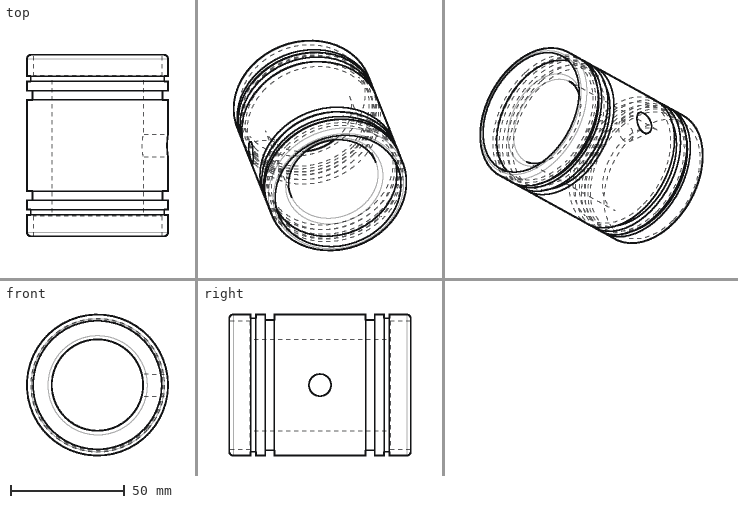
import cadquery as cq

length = 79.72
outer_radius = 31.0
bore_radius = 20.0

recess_radius = 28.2
recess_depth = 9.0

rim_round = 1.8
bore_round = 1.8

wide_groove_start = 20.0
wide_groove_width = 4.0
wide_groove_radius = 28.65
land_width = 4.15
narrow_groove_start = wide_groove_start + wide_groove_width + land_width
narrow_groove_width = 2.3
narrow_groove_radius = 29.35

side_hole_diameter = 9.7

cutter_overshoot = 1.0


def cylinder_along_y(radius, start, end):
    """Solid cylinder on the Y axis from Y = start to Y = end."""
    axis_plane = cq.Plane(origin=(0, start, 0), xDir=(1, 0, 0), normal=(0, 1, 0))
    return cq.Workplane(axis_plane).circle(radius).extrude(end - start)


def groove_pair(floor_radius, start, width):
    """Two rings of material to remove, mirrored about the middle plane."""
    clear_radius = outer_radius + cutter_overshoot
    near_ring = cylinder_along_y(clear_radius, start, start + width).cut(
        cylinder_along_y(floor_radius, start, start + width)
    )
    return near_ring.union(near_ring.mirror("XZ"))


def sleeve_body():
    """Tube with rounded rims, a recess in each end and rounded bore mouths."""
    half_length = length / 2
    step = half_length - recess_depth

    body = cylinder_along_y(outer_radius, -half_length, half_length)
    body = body.cut(cylinder_along_y(recess_radius, step, half_length))
    body = body.cut(cylinder_along_y(recess_radius, -half_length, -step))
    body = body.cut(cylinder_along_y(bore_radius, -step, step))

    bore_mouths = cq.selectors.RadiusNthSelector(0)
    outer_rims = cq.selectors.RadiusNthSelector(-1)
    body = body.edges("%CIRCLE").edges(bore_mouths).fillet(bore_round)
    return body.edges("%CIRCLE").edges(outer_rims).fillet(rim_round)


def side_hole():
    """Cutter for the radial hole, from the sleeve axis out past the +X side."""
    return cq.Workplane("YZ").circle(side_hole_diameter / 2).extrude(outer_radius + cutter_overshoot)


result = (
    sleeve_body()
    .cut(groove_pair(wide_groove_radius, wide_groove_start, wide_groove_width))
    .cut(groove_pair(narrow_groove_radius, narrow_groove_start, narrow_groove_width))
    .cut(side_hole())
)